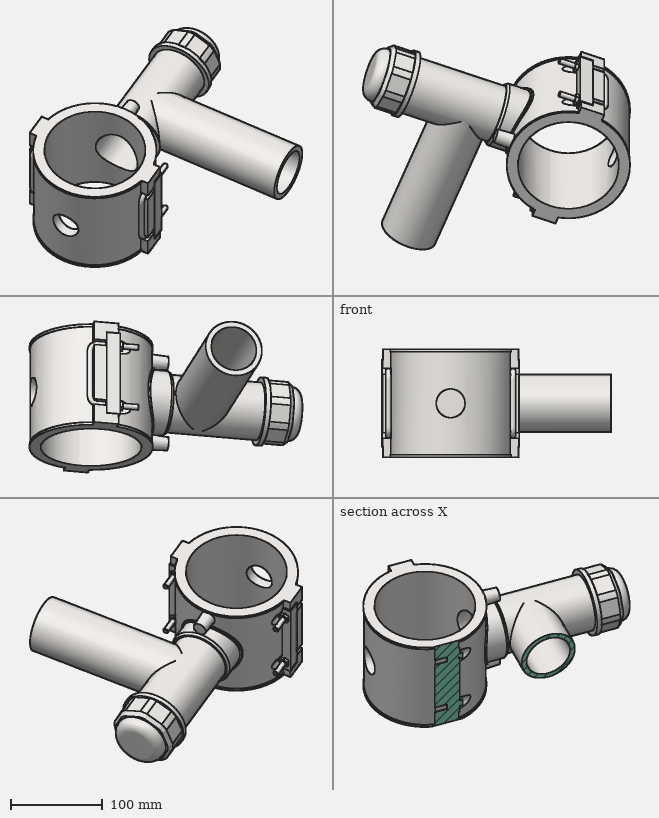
import cadquery as cq
import math

body_length = 118.0
bore_diameter = 110.0
body_radius = 66.6
rim_radius = 67.32
rim_width = 3.0
service_hole_diameter = 31.36

flange_reach = 74.0
flange_thickness = 13.5

plate_reach = 75.0
plate_thickness = 15.3
plate_length = 94.6

bolt_diameter = 6.0
bolt_x = 68.0
bolt_leg_z = 35.0
bolt_tip_y = 37.0
bolt_tip_chamfer = 0.6
bolt_bend_radius = 8.5
bolt_bridge_y = -16.9
slot_width = 6.3
nut_across_flats = 10.0
nut_height = 3.6
nut_pocket_diameter = 17.0

peg_z = 47.2
peg_base_diameter = 17.0
peg_tip_diameter = 15.0
peg_tip_y = 85.3

tower_diameter = 63.58
tower_bore_diameter = 52.36
saddle_diameter = 74.8
saddle_radius = 68.3
collar_diameter = 71.06
collar_top_y = 85.0
collar_chamfer_height = 3.0
collar_chamfer_width = 2.0

branch_diameter = 63.0
branch_bore_diameter = 50.4
branch_y = 119.0
branch_end_x = 175.0

cap_base_y = 187.2
cap_flange_diameter = 74.8
cap_flange_height = 5.7
grip_diameter = 72.2
grip_height = 27.0
grip_chamfer_height = 4.8
grip_chamfer_width = 3.8
grip_flat_count = 8
grip_flat_half_angle = 15.85
dome_diameter = 59.84
dome_top_y = 232.0
dome_fillet = 10.8


def cylinder_y(diameter, y_start, y_end, x=0.0, z=0.0):
    """Cylinder along Y between two heights."""
    direction = cq.Vector(0, 1, 0)
    solid = cq.Solid.makeCylinder(diameter / 2, y_end - y_start, cq.Vector(x, y_start, z), direction)
    return cq.Workplane(obj=solid)


def cylinder_z(radius, length, z_center=0.0):
    """Cylinder along Z, centred on z_center."""
    return cq.Workplane("XY", origin=(0, 0, z_center - length / 2)).circle(radius).extrude(length)


def box_between(x_range, y_range, z_range):
    """Box given by its limits along each axis."""
    size = [high - low for low, high in (x_range, y_range, z_range)]
    corner = (x_range[0], y_range[0], z_range[0])
    return cq.Workplane("XY").box(*size, centered=False).translate(corner)


def side_range(side, inner, outer):
    """X limits between two distances from the axis, on one side of it."""
    return sorted((side * inner, side * outer))


def make_sleeve():
    """Sleeve with end rims and flanges, still solid inside."""
    sleeve = cylinder_z(body_radius, body_length)
    rim_z = (body_length - rim_width) / 2
    for z in (-rim_z, rim_z):
        sleeve = sleeve.union(cylinder_z(rim_radius, rim_width, z))
    flanges = cq.Workplane("XY").box(2 * flange_reach, 2 * flange_thickness, body_length)
    return sleeve.union(flanges)


def make_half_sleeve(side_y):
    """Half of the unbored sleeve, on the +Y (1) or -Y (-1) side of the split."""
    half_space = box_between(
        (-flange_reach, flange_reach),
        sorted((0, side_y * rim_radius)),
        (-body_length / 2, body_length / 2),
    )
    return make_sleeve().intersect(half_space)


def cut_nut_pockets(half):
    """Clear the outside of the sleeve around each nut."""
    for x in (-bolt_x, bolt_x):
        for z in (-bolt_leg_z, bolt_leg_z):
            half = half.cut(cylinder_y(nut_pocket_diameter, flange_thickness, bolt_tip_y, x, z))
    return half


def cut_bolt_slots(half):
    """Slots in the flanges, open to the outside, for the bolt legs."""
    for side in (-1, 1):
        x_range = side_range(side, bolt_x - slot_width / 2, flange_reach)
        for z in (-bolt_leg_z, bolt_leg_z):
            z_range = (z - slot_width / 2, z + slot_width / 2)
            half = half.cut(box_between(x_range, (-flange_thickness, 0), z_range))
    return half


def make_plates():
    """Backing plates, one on each side."""
    half_length = plate_length / 2
    plates = cq.Workplane("XY")
    for side in (-1, 1):
        x_range = side_range(side, bolt_x - nut_pocket_diameter / 2, plate_reach)
        plates = plates.add(box_between(x_range, (0, plate_thickness), (-half_length, half_length)))
    return plates.combine()


def make_u_bolt(x):
    """U-bolt with a hexagon nut on each leg."""
    bend = bolt_bend_radius
    bend_mid = bend * (1 - math.sqrt(0.5))
    leg_end_y = bolt_bridge_y + bend
    bridge_z = bolt_leg_z - bend
    path = (
        cq.Workplane("YZ", origin=(x, 0, 0))
        .moveTo(0, -bolt_leg_z)
        .lineTo(leg_end_y, -bolt_leg_z)
        .threePointArc((bolt_bridge_y + bend_mid, -bolt_leg_z + bend_mid), (bolt_bridge_y, -bridge_z))
        .lineTo(bolt_bridge_y, bridge_z)
        .threePointArc((bolt_bridge_y + bend_mid, bolt_leg_z - bend_mid), (leg_end_y, bolt_leg_z))
        .lineTo(0, bolt_leg_z)
    )
    profile = cq.Workplane("XZ", origin=(x, 0, -bolt_leg_z)).circle(bolt_diameter / 2)
    bolt = profile.sweep(path)
    nut_corner_diameter = nut_across_flats / math.cos(math.pi / 6)
    for z in (-bolt_leg_z, bolt_leg_z):
        leg = cylinder_y(bolt_diameter, 0, bolt_tip_y, x, z).faces(">Y").chamfer(bolt_tip_chamfer)
        nut = (
            cq.Workplane("XZ", origin=(x, plate_thickness, z))
            .transformed(rotate=(0, 0, 90))
            .polygon(6, nut_corner_diameter)
            .extrude(-nut_height)
        )
        bolt = bolt.union(leg).union(nut)
    return bolt


def make_peg(z):
    """Tapered peg standing on the sleeve."""
    height = peg_tip_y - body_radius
    base = cylinder_y(peg_base_diameter, bore_diameter / 2, body_radius, z=z)
    cone = cq.Solid.makeCone(
        peg_base_diameter / 2,
        peg_tip_diameter / 2,
        height,
        cq.Vector(0, body_radius, z),
        cq.Vector(0, 1, 0),
    )
    return base.union(cq.Workplane(obj=cone))


def revolve_profile(points):
    """Solid of revolution about Y from (radius, y) points."""
    return cq.Workplane("XY").polyline(points).close().revolve(360, (0, 0, 0), (0, 1, 0))


def make_tower():
    """Saddle, collar and tube up to the cap."""
    saddle = cylinder_y(saddle_diameter, 0, saddle_radius).intersect(cylinder_z(saddle_radius, body_length))
    collar_radius = collar_diameter / 2
    collar = revolve_profile([
        (0, 0),
        (collar_radius, 0),
        (collar_radius, collar_top_y - collar_chamfer_height),
        (collar_radius - collar_chamfer_width, collar_top_y),
        (0, collar_top_y),
    ])
    tube = cylinder_y(tower_diameter, 0, cap_base_y)
    return saddle.union(collar).union(tube)


def make_pipe_x(diameter):
    """Round bar along the branch axis, from the tower axis to the branch end."""
    return cq.Workplane("YZ").center(branch_y, 0).circle(diameter / 2).extrude(branch_end_x)


def make_cap():
    """Flanged cap with a flatted grip and a rounded top."""
    flange_top_y = cap_base_y + cap_flange_height
    grip_top_y = flange_top_y + grip_height
    grip_radius = grip_diameter / 2
    shoulder_y = grip_top_y - grip_chamfer_height
    taper = math.degrees(math.atan2(grip_chamfer_width, grip_chamfer_height))
    flat_distance = grip_radius * math.cos(math.radians(grip_flat_half_angle))
    flat_corner_diameter = 2 * flat_distance / math.cos(math.pi / grip_flat_count)

    def grip_section(y_start, height, angle):
        """Round bar trimmed by the grip flats, narrowing at the given angle."""
        plane = cq.Workplane("XZ", origin=(0, y_start, 0))
        bar = plane.circle(grip_radius).extrude(-height, taper=angle)
        flats = plane.polygon(grip_flat_count, flat_corner_diameter).extrude(-height, taper=angle)
        return bar.intersect(flats)

    grip = grip_section(flange_top_y, shoulder_y - flange_top_y, 0)
    grip = grip.union(grip_section(shoulder_y, grip_chamfer_height, taper))
    flange = cylinder_y(cap_flange_diameter, cap_base_y, flange_top_y)
    dome = cylinder_y(dome_diameter, flange_top_y, dome_top_y).faces(">Y").edges().fillet(dome_fillet)
    return flange.union(grip).union(dome)


def make_tower_half():
    """+Y half: sleeve, plates, pegs, capped tower and branch."""
    half = cut_nut_pockets(make_half_sleeve(1)).union(make_plates())
    half = half.union(make_tower()).union(make_pipe_x(branch_diameter)).union(make_cap())
    for z in (-peg_z, peg_z):
        half = half.union(make_peg(z))
    half = half.cut(cylinder_z(bore_diameter / 2, body_length))
    half = half.cut(cylinder_y(tower_bore_diameter, 0, cap_base_y))
    return half.cut(make_pipe_x(branch_bore_diameter))


def make_plain_half():
    """-Y half: sleeve with bolt slots and the service hole."""
    half = cut_bolt_slots(make_half_sleeve(-1))
    half = half.cut(cylinder_z(bore_diameter / 2, body_length))
    return half.cut(cylinder_y(service_hole_diameter, -rim_radius, 0))


result = make_tower_half().union(make_plain_half(), clean=False)
for leg_x in (-bolt_x, bolt_x):
    result = result.union(make_u_bolt(leg_x), clean=False)